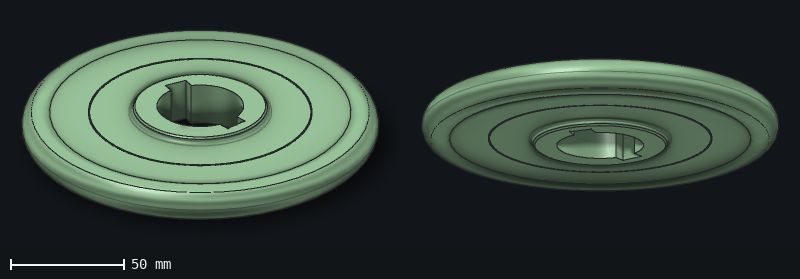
import cadquery as cq
import math

HUB_DIAMETER = 59.2
HUB_HEIGHT = 19.0
HUB_CHAMFER = 0.8
HUB_FILLET = 1.9
WEB_THICKNESS = 12.9
DISC_DIAMETER = 148.9

GROOVE_OUTER_RADIUS = 49.3
GROOVE_WIDTH = 0.5
GROOVE_DEPTH = 0.5

BORE_DIAMETER = 38.1
KEYWAY_WIDTH = 10.0
KEYWAY_REACH = 23.6
KEYWAY_ANGLES = (0, 165)

RIM_DIAMETER = 157.4
RIM_TUBE_RADIUS = 7.9


def centred_cylinder(diameter, height):
    """Solid cylinder on the Z axis, centred on the mid-plane."""
    return cq.Workplane("XY").circle(diameter / 2).extrude(height / 2, both=True)


def make_hub_body():
    """Half profile of disc and hub, revolved about Z."""
    hub_radius = HUB_DIAMETER / 2
    hub_top = HUB_HEIGHT / 2
    web_top = WEB_THICKNESS / 2
    fillet_middle = HUB_FILLET * (1 - math.sqrt(0.5))
    upper_half = (
        cq.Workplane("XZ")
        .lineTo(0, hub_top)
        .lineTo(hub_radius - HUB_CHAMFER, hub_top)
        .lineTo(hub_radius, hub_top - HUB_CHAMFER)
        .lineTo(hub_radius, web_top + HUB_FILLET)
        .threePointArc(
            (hub_radius + fillet_middle, web_top + fillet_middle),
            (hub_radius + HUB_FILLET, web_top),
        )
        .lineTo(DISC_DIAMETER / 2, web_top)
        .lineTo(DISC_DIAMETER / 2, 0)
        .close()
        .revolve(360, (0, 0, 0), (0, 1, 0))
    )
    body = upper_half.union(upper_half.mirror("XY"))
    return body.cut(make_bore()).cut(make_grooves())


def make_bore():
    """Through bore with keyways open to it."""
    bore = centred_cylinder(BORE_DIAMETER, HUB_HEIGHT)
    for angle in KEYWAY_ANGLES:
        keyway = (
            cq.Workplane("XY")
            .box(KEYWAY_REACH, KEYWAY_WIDTH, HUB_HEIGHT, centered=(False, True, True))
            .rotate((0, 0, 0), (0, 0, 1), angle)
        )
        bore = bore.union(keyway)
    return bore


def make_grooves():
    """Shallow annular grooves cut into the upper and lower disc faces."""
    upper = (
        cq.Workplane("XY")
        .workplane(offset=WEB_THICKNESS / 2 - GROOVE_DEPTH)
        .circle(GROOVE_OUTER_RADIUS)
        .circle(GROOVE_OUTER_RADIUS - GROOVE_WIDTH)
        .extrude(GROOVE_DEPTH)
    )
    return upper.union(upper.mirror("XY"))


def make_rim():
    """Round tube whose inner side is cut away by the recess that holds the disc edge."""
    tube_centre = RIM_DIAMETER / 2 - RIM_TUBE_RADIUS
    tube = (
        cq.Workplane("XZ")
        .center(tube_centre, 0)
        .circle(RIM_TUBE_RADIUS)
        .revolve(360, (-tube_centre, 0, 0), (-tube_centre, 1, 0))
    )
    return tube.cut(centred_cylinder(DISC_DIAMETER, WEB_THICKNESS))


hub_body = make_hub_body()
rim = make_rim()

result = cq.Compound.makeCompound([hub_body.val(), rim.val()])